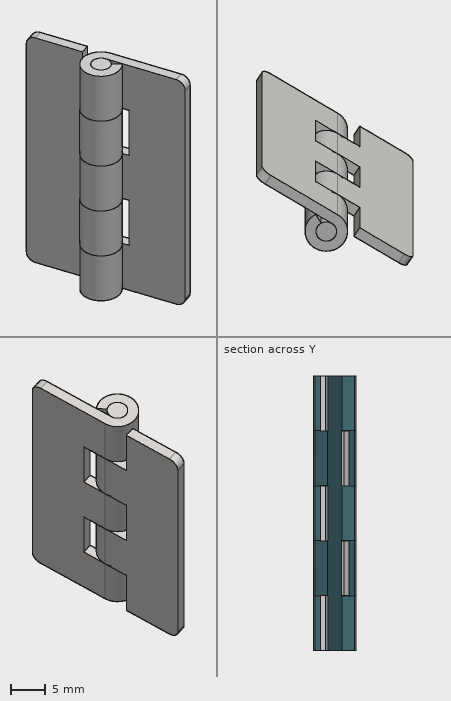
import cadquery as cq
import math

hinge_width = 26.0
hinge_length = 40.0
sheet_thickness = 1.6
pin_diameter = 3.0
knuckle_count = 5
knuckle_clearance = 0.7
corner_radius = 1.5
curl_end_angle = 28.0

half_width = hinge_width / 2
pin_radius = pin_diameter / 2
barrel_radius = pin_radius + sheet_thickness
knuckle_length = hinge_length / knuckle_count
notch_edge = barrel_radius + knuckle_clearance


def point_at(radius, degrees):
    """Point on a circle about the pin axis."""
    angle = math.radians(degrees)
    return (radius * math.cos(angle), radius * math.sin(angle))


def make_plate():
    """Flat part of the right-hand leaf, from the notch edge to the rounded outer corners."""
    return (
        cq.Workplane("XY")
        .box(half_width - notch_edge, sheet_thickness, hinge_length, centered=False)
        .translate((notch_edge, pin_radius, 0))
        .edges("|Y and >X")
        .fillet(corner_radius)
    )


def make_knuckle(index):
    """Tongue running from the plate and curling around the pin."""
    middle_angle = (90 + 360 + curl_end_angle) / 2
    return (
        cq.Workplane("XY", origin=(0, 0, index * knuckle_length))
        .moveTo(notch_edge, barrel_radius)
        .lineTo(0, barrel_radius)
        .threePointArc(point_at(barrel_radius, middle_angle), point_at(barrel_radius, curl_end_angle))
        .lineTo(*point_at(pin_radius, curl_end_angle))
        .threePointArc(point_at(pin_radius, middle_angle), (0, pin_radius))
        .lineTo(notch_edge, pin_radius)
        .close()
        .extrude(knuckle_length)
    )


def make_leaf(first_knuckle):
    """Right-hand leaf carrying every second knuckle, counted up from first_knuckle."""
    leaf = make_plate()
    for index in range(first_knuckle, knuckle_count, 2):
        leaf = leaf.union(make_knuckle(index))
    return leaf


right_leaf = make_leaf(0)

left_leaf = make_leaf(1).mirror("YZ")

pin = cq.Workplane("XY").circle(pin_radius).extrude(hinge_length)

result = cq.Compound.makeCompound([right_leaf.solids().val(), left_leaf.solids().val(), pin.val()])